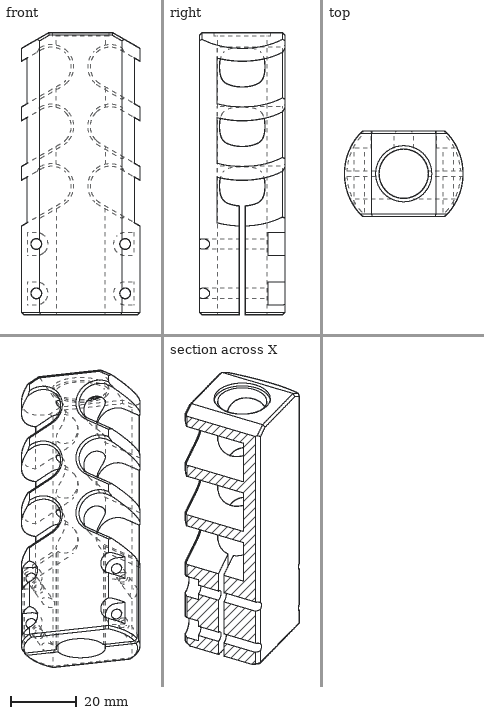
import cadquery as cq
import math

LENGTH = 85.5
BODY_DIAMETER = 36.0
FLATS_DISTANCE = 26.0
TOP_WIDTH = 19.5
SLOPE_ANGLE = 30.0
EDGE_CHAMFER = 0.8

BORE_DIAMETER = 14.9
RECESS_DIAMETER = 17.0
RECESS_DEPTH = 1.0

PORT_COUNT = 3
PORT_PITCH = 18.0
PORT_RADIUS = 6.0
PORT_CENTER_X = 8.9
TOP_PORT_CENTER_Z = 75.15
PORT_FLOOR_Y = -7.6

SLIT_WIDTH = 1.8
SCREW_SPACING_X = 26.9
SCREW_HEIGHTS = (6.5, 21.5)
SCREW_DIAMETER = 3.2
SCREW_HEAD_DIAMETER = 7.0
SCREW_SEAT_Y = 7.9

BODY_RADIUS = BODY_DIAMETER / 2
FLAT_Y = FLATS_DISTANCE / 2
FLAT_HALF_WIDTH = math.sqrt(BODY_RADIUS**2 - FLAT_Y**2)
SLOPE = math.radians(SLOPE_ANGLE)
BOTTOM_PORT_CENTER_Z = TOP_PORT_CENTER_Z - (PORT_COUNT - 1) * PORT_PITCH
SIDES = (-1, 1)
CLEARANCE = 0.85
TOLERANCE = 0.01


def make_body():
    """Round bar with flats at +Y and -Y and a top that slopes down to both sides."""
    bar = cq.Workplane("XY").circle(BODY_RADIUS).extrude(LENGTH)
    outer_x = BODY_RADIUS + CLEARANCE
    shoulder_z = LENGTH - (outer_x - TOP_WIDTH / 2) * math.tan(SLOPE)
    envelope = (
        cq.Workplane("XZ")
        .moveTo(-outer_x, 0)
        .lineTo(outer_x, 0)
        .lineTo(outer_x, shoulder_z)
        .lineTo(TOP_WIDTH / 2, LENGTH)
        .lineTo(-TOP_WIDTH / 2, LENGTH)
        .lineTo(-outer_x, shoulder_z)
        .close()
        .extrude(FLAT_Y, both=True)
    )
    return bar.intersect(envelope)


def make_port(side, center_z):
    """Slot with a full-round inner end that falls away towards the given X side."""
    reach = 2 * BODY_RADIUS
    depth = FLAT_Y - PORT_FLOOR_Y + CLEARANCE
    port = (
        cq.Workplane("XY")
        .moveTo(0, PORT_RADIUS)
        .threePointArc((-PORT_RADIUS, 0), (0, -PORT_RADIUS))
        .lineTo(reach, -PORT_RADIUS)
        .lineTo(reach, PORT_RADIUS)
        .close()
        .extrude(depth)
        .rotate((0, 0, 0), (1, 0, 0), 90)
        .rotate((0, 0, 0), (0, 1, 0), SLOPE_ANGLE)
        .translate((PORT_CENTER_X, PORT_FLOOR_Y + depth, center_z))
    )
    return port if side > 0 else port.mirror("YZ")


def is_corner_edge(edge):
    """True for the vertical edges where a flat meets the round side."""
    box = edge.BoundingBox()
    return abs(abs(edge.Center().x) - FLAT_HALF_WIDTH) < TOLERANCE and box.xlen < TOLERANCE


def chamfer_flats(body):
    """Bevel the outlines of both flats and the bottom rim, but not the vertical corners."""
    edges = body.faces(">Y or <Y").edges().vals()
    rim = body.faces("<Z").edges("%CIRCLE").vals()
    bevelled = [edge for edge in edges if not is_corner_edge(edge)]
    return body.newObject(bevelled + rim).chamfer(EDGE_CHAMFER)


def make_screw_hole(x, z):
    """Plain hole through the body along Y."""
    return (
        cq.Workplane("XZ", origin=(x, 0, z))
        .circle(SCREW_DIAMETER / 2)
        .extrude(FLAT_Y + CLEARANCE, both=True)
    )


def make_screw_seat(side, x, z):
    """U-shaped seat for a screw head, open at the +Y flat and at the given X side."""
    radius = SCREW_HEAD_DIAMETER / 2
    reach = side * BODY_RADIUS
    return (
        cq.Workplane("XZ", origin=(x, SCREW_SEAT_Y, z))
        .moveTo(0, radius)
        .threePointArc((-side * radius, 0), (0, -radius))
        .lineTo(reach, -radius)
        .lineTo(reach, radius)
        .close()
        .extrude(SCREW_SEAT_Y - FLAT_Y - CLEARANCE)
    )


result = make_body()

for side in SIDES:
    for index in range(PORT_COUNT):
        result = result.cut(make_port(side, TOP_PORT_CENTER_Z - index * PORT_PITCH))

result = chamfer_flats(result)

bore = cq.Workplane("XY").circle(BORE_DIAMETER / 2).extrude(LENGTH)
recess = (
    cq.Workplane("XY", origin=(0, 0, LENGTH - RECESS_DEPTH))
    .circle(RECESS_DIAMETER / 2)
    .extrude(RECESS_DEPTH)
)
result = result.cut(bore).cut(recess)

slit_top = BOTTOM_PORT_CENTER_Z - (BODY_RADIUS - PORT_CENTER_X) * math.tan(SLOPE)
slit = cq.Workplane("XY").box(BODY_DIAMETER, SLIT_WIDTH, slit_top, centered=(True, True, False))
result = result.cut(slit)

for side in SIDES:
    for height in SCREW_HEIGHTS:
        screw_x = side * SCREW_SPACING_X / 2
        result = result.cut(make_screw_hole(screw_x, height))
        result = result.cut(make_screw_seat(side, screw_x, height))